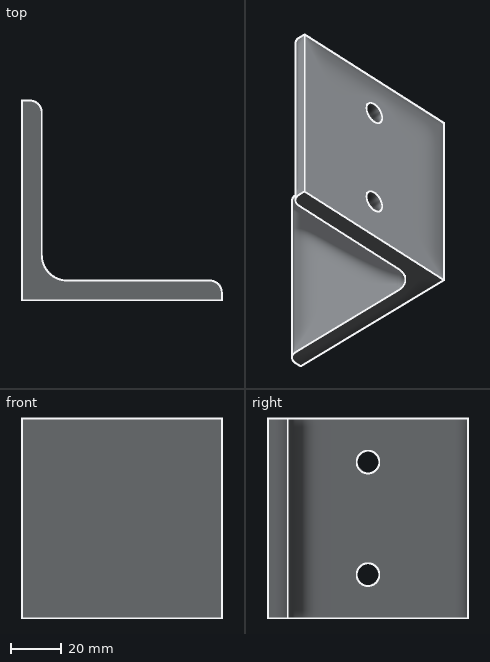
import cadquery as cq

leg_length = 80.0
leg_thickness = 8.0
root_radius = 10.0
toe_radius = 5.0

bracket_height = 80.0

hole_diameter = 9.0
hole_spacing = 45.0
hole_y = leg_length / 2


def angle_body():
    """L-shaped bar with its outer corner on the Z axis."""
    profile = [
        (0, 0),
        (leg_length, 0),
        (leg_length, leg_thickness),
        (leg_thickness, leg_thickness),
        (leg_thickness, leg_length),
        (0, leg_length),
    ]
    return cq.Workplane("XY").polyline(profile).close().extrude(bracket_height)


def round_inner_edges(body):
    """Round the inner root corner and the inner edge of both leg toes."""
    mid_height = bracket_height / 2
    root = (leg_thickness, leg_thickness, mid_height)
    toes = [
        (leg_length, leg_thickness, mid_height),
        (leg_thickness, leg_length, mid_height),
    ]
    body = body.edges(cq.NearestToPointSelector(root)).fillet(root_radius)
    for toe in toes:
        body = body.edges(cq.NearestToPointSelector(toe)).fillet(toe_radius)
    return body


def mounting_holes():
    """Two cylinders along X, placed symmetrically about mid-height."""
    lower_z = (bracket_height - hole_spacing) / 2
    centers = [(hole_y, lower_z), (hole_y, lower_z + hole_spacing)]
    return (
        cq.Workplane("YZ")
        .pushPoints(centers)
        .circle(hole_diameter / 2)
        .extrude(leg_thickness)
    )


result = round_inner_edges(angle_body()).cut(mounting_holes())